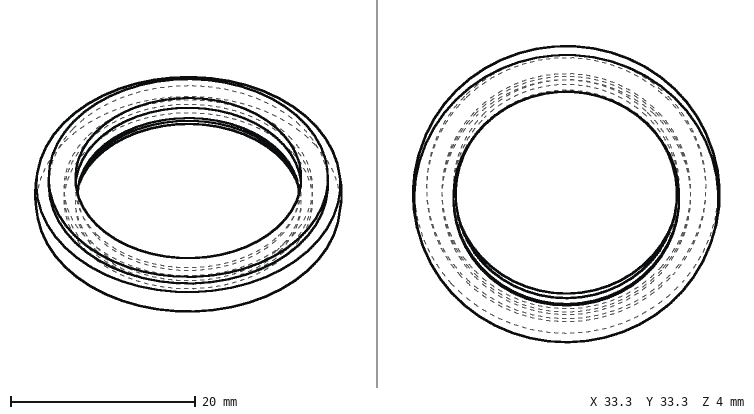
import cadquery as cq

height = 4.0
crown_radius = 16.65
rim_edge_radius = 16.5
rim_height = 3.0
shoulder_radius = 15.15
bore_radius = 12.25

cord_diameter = 1.5
cord_radius = cord_diameter / 2
o_ring_inner_radius = 12.0
o_ring_centre_radius = o_ring_inner_radius + cord_radius
mid_rim = rim_height / 2

groove_radius = o_ring_centre_radius + cord_radius
groove_width = 2.0
groove_bottom = mid_rim - groove_width / 2
groove_top = mid_rim + groove_width / 2


def revolve_about_z(profile):
    """Turn a closed profile drawn in the XZ plane (radius, height) about Z."""
    return profile.revolve(360, (0, 0, 0), (0, 1, 0))


def make_housing():
    section = (
        cq.Workplane("XZ")
        .moveTo(bore_radius, 0)
        .lineTo(rim_edge_radius, 0)
        .lineTo(crown_radius, mid_rim)
        .lineTo(rim_edge_radius, rim_height)
        .lineTo(shoulder_radius, rim_height)
        .lineTo(shoulder_radius, height)
        .lineTo(bore_radius, height)
        .lineTo(bore_radius, groove_top)
        .lineTo(groove_radius, groove_top)
        .lineTo(groove_radius, groove_bottom)
        .lineTo(bore_radius, groove_bottom)
        .close()
    )
    return revolve_about_z(section)


def make_o_ring():
    section = cq.Workplane("XZ").center(o_ring_centre_radius, mid_rim).circle(cord_radius)
    return section.revolve(360, (-o_ring_centre_radius, 0, 0), (-o_ring_centre_radius, 1, 0))


housing = make_housing()
o_ring = make_o_ring()

result = cq.Compound.makeCompound([housing.val(), o_ring.val()])